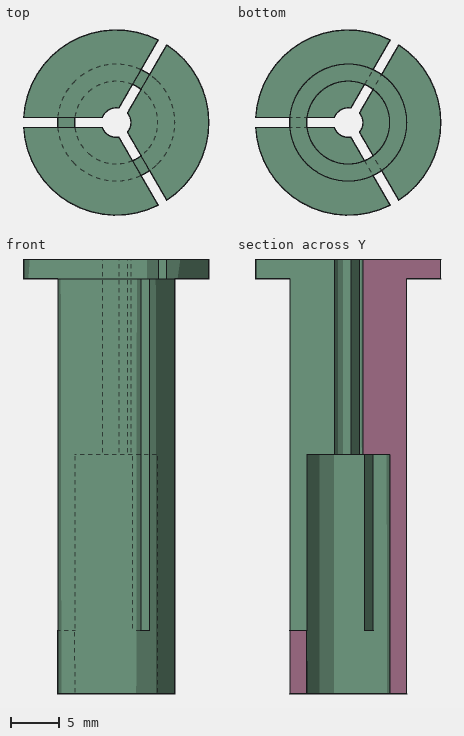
import cadquery as cq

total_height = 44.5
flange_diameter = 19.0
flange_thickness = 2.0

shank_diameter = 12.0
shank_height = total_height - flange_thickness

small_bore_diameter = 3.0
large_bore_diameter = 8.5
large_bore_depth = 24.5

slot_count = 3
slot_width = 1.0
slot_floor_height = 6.5
first_slot_angle = 180.0


def make_body():
    """Shank, flange and stepped bore, revolved about Z."""
    small_bore_radius = small_bore_diameter / 2
    large_bore_radius = large_bore_diameter / 2
    shank_radius = shank_diameter / 2
    flange_radius = flange_diameter / 2
    profile = [
        (large_bore_radius, 0),
        (shank_radius, 0),
        (shank_radius, shank_height),
        (flange_radius, shank_height),
        (flange_radius, total_height),
        (small_bore_radius, total_height),
        (small_bore_radius, large_bore_depth),
        (large_bore_radius, large_bore_depth),
    ]
    return cq.Workplane("XZ").polyline(profile).close().revolve(360, (0, 0), (0, 1))


def make_slot(angle):
    """Cutter running from the axis out past the flange rim at the given angle."""
    slot = cq.Workplane("XY").box(
        flange_diameter,
        slot_width,
        total_height - slot_floor_height,
        centered=(False, True, False),
    )
    slot = slot.translate((0, 0, slot_floor_height))
    return slot.rotate((0, 0, 0), (0, 0, 1), angle)


result = make_body()
for index in range(slot_count):
    slot_angle = first_slot_angle + index * 360 / slot_count
    result = result.cut(make_slot(slot_angle))